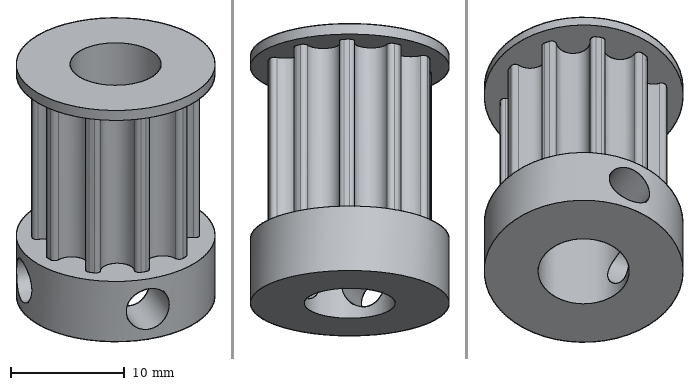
import cadquery as cq
import math

height = 23.0
rim_diameter = 17.5
bore_diameter = 8.0
hub_height = 6.0
flange_thickness = 1.0

tooth_count = 10
tooth_tip_diameter = 14.77
groove_radius = 1.5
groove_depth = 2.07
tooth_tip_fillet = 0.44

screw_hole_diameter = 4.0
screw_hole_height = hub_height / 2

tooth_length = height - hub_height - flange_thickness
tip_radius = tooth_tip_diameter / 2
groove_center_radius = tip_radius - groove_depth + groove_radius


def disc(diameter, thickness, base_height):
    return cq.Workplane("XY").workplane(offset=base_height).circle(diameter / 2).extrude(thickness)


def groove_cutter():
    """Groove on the -Y side: a round root with parallel walls running out past the tips."""
    wall_end_radius = tip_radius + groove_radius
    return (
        cq.Workplane("XY")
        .workplane(offset=hub_height)
        .moveTo(-groove_radius, -wall_end_radius)
        .lineTo(-groove_radius, -groove_center_radius)
        .threePointArc((0, groove_radius - groove_center_radius), (groove_radius, -groove_center_radius))
        .lineTo(groove_radius, -wall_end_radius)
        .close()
        .extrude(tooth_length)
    )


def is_tooth_corner(edge):
    center = edge.Center()
    return math.hypot(center.x, center.y) > tip_radius - tooth_tip_fillet / 2


def toothed_section():
    teeth = disc(tooth_tip_diameter, tooth_length, hub_height)
    groove = groove_cutter()
    for index in range(tooth_count):
        angle = index * 360 / tooth_count
        teeth = teeth.cut(groove.rotate((0, 0, 0), (0, 0, 1), angle))

    corners = [edge for edge in teeth.edges("|Z").vals() if is_tooth_corner(edge)]
    return teeth.newObject(corners).fillet(tooth_tip_fillet)


def screw_hole(angle):
    """Radial hole from the bore axis outward; zero angle points along +X."""
    return (
        cq.Workplane("YZ")
        .center(0, screw_hole_height)
        .circle(screw_hole_diameter / 2)
        .extrude(rim_diameter)
        .rotate((0, 0, 0), (0, 0, 1), angle)
    )


hub = disc(rim_diameter, hub_height, 0)
flange = disc(rim_diameter, flange_thickness, height - flange_thickness)
body = hub.union(toothed_section()).union(flange)
body = body.cut(disc(bore_diameter, height, 0))

for hole_angle in (0, -90):
    body = body.cut(screw_hole(hole_angle))

result = body